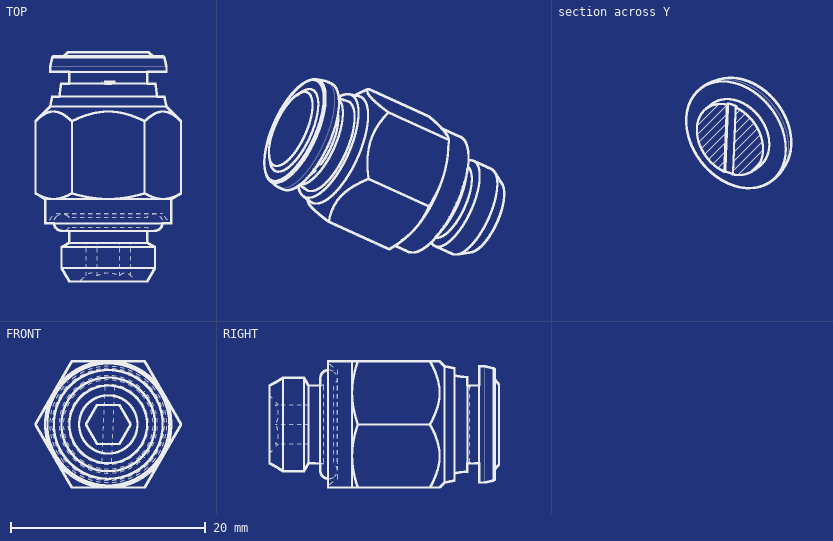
import cadquery as cq
import math


tip_r = 4.0
thread_r = 4.82
tip_chamfer = 1.4
thread_end_y = 3.55
undercut_y = 4.0

neck_r = 4.02

hex_across_flats = 13.0
hex_flat_r = hex_across_flats / 2
hex_corner_r = hex_flat_r / math.cos(math.radians(30))
collar_r = hex_flat_r
collar_y = 6.0
hex_start_y = 8.5
hex_end_y = 18.0
front_bevel_angle = 30.0
hex_end_r = 6.0

shoulder_end_y = 19.03
shoulder_end_r = 5.78

ring_end_y = 20.36
ring_base_r = 5.04
ring_end_r = 4.87

button_y = 21.56
button_r = 6.0
button_taper_y = 22.1
button_rim_y = 23.2
button_rim_r = 5.78
button_rim_round = 0.15
crown_base_r = 4.6
crown_top_r = 4.13
total_length = 23.6

o_ring_outer_r = 5.6
o_ring_section_r = 0.87
o_ring_front_y = 5.21
recess_rim_r = 6.28
recess_floor_r = o_ring_outer_r
recess_depth = 1.0

socket_across_flats = 4.0
socket_depth = 4.0
countersink_r = 3.0
countersink_depth = 0.9

slit_width = 1.0
slit_height = 0.2
slit_turn = 2.4


def revolve_profile(points):
    """Solid of revolution about Y from (radius, y) points."""
    return cq.Workplane("XY").polyline(points).close().revolve(360, (0, 0, 0), (0, 1, 0))


def hexagon(across_flats, start_y, end_y):
    """Hexagonal prism along +Y with its corners on the X axis."""
    across_corners = across_flats / math.cos(math.radians(30))
    plane = cq.Workplane("XZ", origin=(0, start_y, 0))
    return plane.polygon(6, across_corners).extrude(start_y - end_y)


def make_threaded_end():
    return revolve_profile([
        (0, 0),
        (tip_r, 0),
        (thread_r, tip_chamfer),
        (thread_r, thread_end_y),
        (neck_r, undercut_y),
        (neck_r, hex_start_y),
        (0, hex_start_y),
    ])


def make_hex_body():
    """Hexagon whose corners are turned down by a cone at each end."""
    front_bevel = (hex_corner_r - hex_flat_r) * math.tan(math.radians(front_bevel_angle))
    rear_bevel = hex_corner_r - hex_end_r
    turned_blank = revolve_profile([
        (0, hex_start_y),
        (hex_flat_r, hex_start_y),
        (hex_corner_r, hex_start_y + front_bevel),
        (hex_corner_r, hex_end_y - rear_bevel),
        (hex_end_r, hex_end_y),
        (0, hex_end_y),
    ])
    return hexagon(hex_across_flats, hex_start_y, hex_end_y).intersect(turned_blank)


def make_collar():
    """Round collar with the O-ring recess in its face."""
    recess_floor_y = collar_y + recess_depth
    return revolve_profile([
        (0, recess_floor_y),
        (recess_floor_r, recess_floor_y),
        (recess_rim_r, collar_y),
        (collar_r, collar_y),
        (collar_r, hex_start_y),
        (0, hex_start_y),
    ])


def make_o_ring():
    """Torus whose inner side is sunk slightly into the neck."""
    centre_r = o_ring_outer_r - o_ring_section_r
    centre_y = o_ring_front_y + o_ring_section_r
    section = cq.Workplane("XY").center(-centre_r, centre_y).circle(o_ring_section_r)
    return section.revolve(360, (centre_r, 0, 0), (centre_r, 1, 0))


def make_tube_end():
    """Shoulder and retaining ring, both tapering towards the tube side."""
    return revolve_profile([
        (0, hex_end_y),
        (hex_end_r, hex_end_y),
        (shoulder_end_r, shoulder_end_y),
        (ring_base_r, shoulder_end_y),
        (ring_end_r, ring_end_y),
        (0, ring_end_y),
    ])


def make_release_button():
    """Sleeve neck, tapered flange with an eased rim, and a low crown."""
    return revolve_profile([
        (0, ring_end_y),
        (neck_r, ring_end_y),
        (neck_r, button_y),
        (button_r, button_y),
        (button_r, button_taper_y),
        (button_rim_r, button_rim_y - button_rim_round),
        (button_rim_r - button_rim_round, button_rim_y),
        (crown_base_r, button_rim_y),
        (crown_top_r, total_length),
        (0, total_length),
    ])


def make_slit():
    """Cutter passing straight through the sleeve just behind the retaining ring."""
    centre_y = ring_end_y + slit_height / 2
    slit_length = 2 * ring_base_r
    cutter = cq.Workplane("XY").box(slit_width, slit_height, slit_length)
    return cutter.translate((0, centre_y, 0)).rotate((0, 0, 0), (0, 1, 0), slit_turn)


def make_socket():
    """Blind hexagon socket with a conical lead-in."""
    lead_in = revolve_profile([
        (0, 0),
        (countersink_r, 0),
        (socket_across_flats / 2, countersink_depth),
        (0, countersink_depth),
    ])
    return hexagon(socket_across_flats, 0, socket_depth).union(lead_in)


body = make_threaded_end()
for section in (make_collar(), make_o_ring(), make_hex_body(), make_tube_end(), make_release_button()):
    body = body.union(section)

result = body.cut(make_slit()).cut(make_socket())